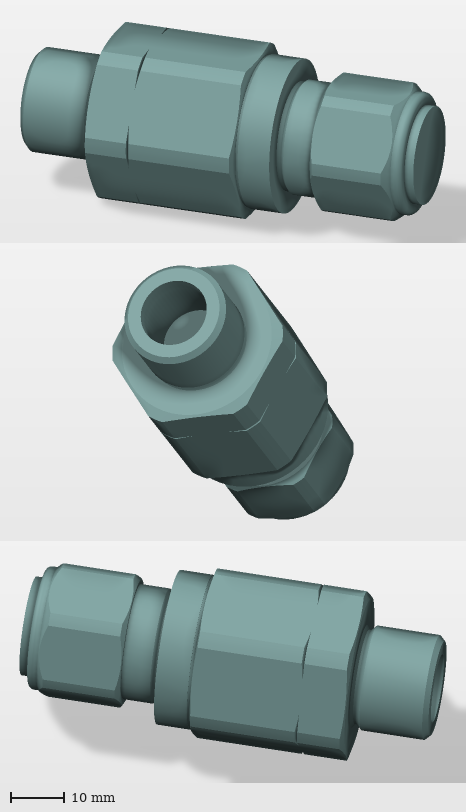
import cadquery as cq
import math


spigot_end = 14.0
body_start = 14.95
body_split = 23.65
body_end = 44.7
collar_start = 45.2
collar_end = 51.5
shank_start = 52.3
nut_start = 58.55
nut_end = 76.6
total_length = 78.35

spigot_radius = 10.0
spigot_chamfer = 1.0
spigot_flange_radius = 9.8
runout_length = 0.5
bore_radius = 6.5
bore_depth = body_start
body_across_flats = 30.5
corner_ratio = 1.1
body_face_radius = 14.75
body_chamfer_angle = 15
split_face_radius = 15.55
split_chamfer_angle = 22.5
collar_radius = 14.75
collar_neck_radius = 14.6
relief_collar_radius = 10.5
relief_shank_radius = 10.3
shank_radius = 10.97
shank_cone_length = 0.7
nut_across_flats = 24.0
nut_face_radius = 11.8
nut_front_angle = 30
nut_rear_angle = 45
nut_rim_length = 2.0
nut_rim_radius = 11.75
nut_rim_fillet = 1.0
tail_radius = 9.42


def corner_radius(across_flats):
    return corner_ratio * across_flats / 2


def revolve_profile(points):
    """Solid of revolution about X from (x, radius) points, closed along the axis."""
    outline = [(points[0][0], 0)] + points + [(points[-1][0], 0)]
    return cq.Workplane("XY").polyline(outline).close().revolve(360, (0, 0, 0), (1, 0, 0))


def hexagon(start, end, across_flats):
    """Hexagonal prism along X with two flats facing up and down."""
    across_corners = across_flats / math.cos(math.pi / 6)
    return cq.Workplane("YZ", origin=(start, 0, 0)).polygon(6, across_corners).extrude(end - start)


def chamfer_length(across_flats, face_radius, angle):
    """Axial length of a cone from the end face circle out to the rounded corners."""
    return (corner_radius(across_flats) - face_radius) * math.tan(math.radians(angle))


def turned_hexagon(start, end, across_flats, front, rear):
    """Hexagon with rounded corners; front and rear are (face radius, cone angle).

    A rear face radius equal to the corner radius leaves that end square.
    """
    outer = corner_radius(across_flats)
    points = [
        (start, front[0]),
        (start + chamfer_length(across_flats, *front), outer),
        (end - chamfer_length(across_flats, *rear), outer),
    ]
    if rear[0] < outer:
        points.append((end, rear[0]))
    return hexagon(start, end, across_flats).intersect(revolve_profile(points))


def make_spigot():
    root_radius = spigot_radius - spigot_chamfer
    return revolve_profile([
        (0, root_radius),
        (spigot_chamfer, spigot_radius),
        (spigot_end - spigot_chamfer, spigot_radius),
        (spigot_end, root_radius),
        (body_start - runout_length, root_radius),
        (body_start, spigot_flange_radius),
    ])


def make_body():
    face = (body_face_radius, body_chamfer_angle)
    joint = (split_face_radius, split_chamfer_angle)
    square_end = (corner_radius(body_across_flats), 0)
    front = turned_hexagon(body_start, body_split, body_across_flats, face, square_end)
    rear = turned_hexagon(body_split, body_end, body_across_flats, joint, face)
    return front.union(rear)


def make_shank():
    return revolve_profile([
        (body_end, collar_neck_radius),
        (collar_start, collar_neck_radius),
        (collar_start, collar_radius),
        (collar_end, collar_radius),
        (collar_end, relief_collar_radius),
        (shank_start, relief_shank_radius),
        (shank_start + shank_cone_length, shank_radius),
        (nut_start, shank_radius),
    ])


def make_nut():
    hex_end = nut_end - nut_rim_length
    front = (nut_face_radius, nut_front_angle)
    rear = (nut_rim_radius, nut_rear_angle)
    hex_part = turned_hexagon(nut_start, hex_end, nut_across_flats, front, rear)
    rim = cq.Workplane("YZ", origin=(hex_end, 0, 0)).circle(nut_rim_radius).extrude(nut_rim_length)
    return hex_part.union(rim.faces(">X").edges().fillet(nut_rim_fillet))


def make_tail():
    return cq.Workplane("YZ", origin=(nut_end, 0, 0)).circle(tail_radius).extrude(total_length - nut_end)


fitting = make_spigot().union(make_body()).union(make_shank()).union(make_nut()).union(make_tail())
bore = cq.Workplane("YZ").circle(bore_radius).extrude(bore_depth)
result = fitting.cut(bore)